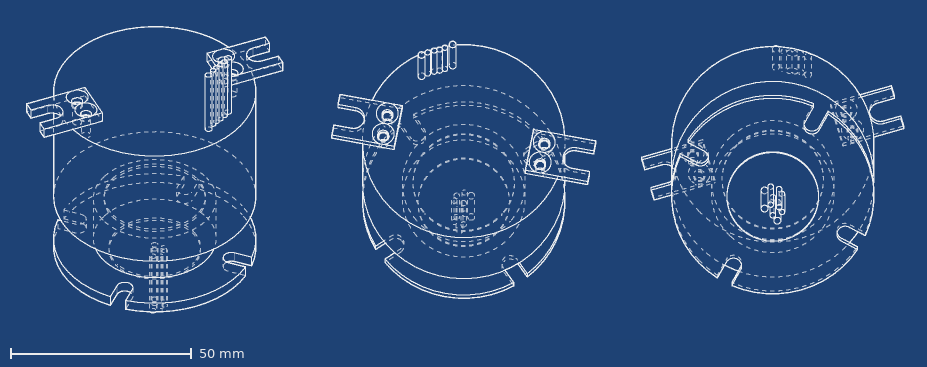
import cadquery as cq
import math

overall_height = 96.0
body_diameter = 56.0
body_height = 37.8
neck_diameter = 28.0
neck_height = 0.9
hub_diameter = 34.0
hub_height = 14.2
flange_thickness = 3.2
pilot_diameter = 25.3
pilot_height = 0.9
lower_wire_length = 19.6

pilot_bottom = lower_wire_length
flange_bottom = pilot_bottom + pilot_height
hub_bottom = flange_bottom + flange_thickness
neck_bottom = hub_bottom + hub_height
body_bottom = neck_bottom + neck_height
body_top = body_bottom + body_height
upper_wire_length = overall_height - body_top

flange_slot_width = 4.5
flange_slot_center_radius = 22.8
flange_slot_angles = (45, 135, 225, 315)

bracket_tip_reach = 36.0
bracket_length = 17.6
bracket_width = 12.0
bracket_thickness = 3.0
fork_width = 6.0
fork_arc_center = 31.0
screw_spacing = 6.0
screw_reach = 22.1
screw_hole_diameter = 3.1
countersink_diameter = 6.0
countersink_angle = 90
tapped_hole_diameter = 2.5
tapped_hole_depth = 6.0
drill_tip_angle = 118

thick_wire_diameter = 1.9
thin_wire_diameter = 1.5
upper_thick_wires = [(16.3, 15.0), (20.9, 7.1)]
upper_thin_wires = [(17.4, 13.4), (18.2, 11.8), (18.8, 10.4), (19.6, 9.0)]
lower_thick_wires = [(-1.9, 0.8), (2.4, -1.6)]
lower_thin_wires = [(-0.1, 0.0), (3.0, 0.3), (0.1, 2.7), (1.6, 2.3)]


def disc(diameter, bottom, height):
    return cq.Workplane("XY").workplane(offset=bottom).circle(diameter / 2).extrude(height)


def make_housing():
    return (
        disc(pilot_diameter, pilot_bottom, pilot_height)
        .union(disc(body_diameter, flange_bottom, flange_thickness).cut(make_flange_slots()))
        .union(disc(hub_diameter, hub_bottom, hub_height))
        .union(disc(neck_diameter, neck_bottom, neck_height))
        .union(disc(body_diameter, body_bottom, body_height))
    )


def open_slot(width, center, end, bottom, height):
    """Slot along +X with a round inner end, running out to x = end."""
    half = width / 2
    return (
        cq.Workplane("XY")
        .workplane(offset=bottom)
        .moveTo(end, -half)
        .lineTo(center, -half)
        .threePointArc((center - half, 0), (center, half))
        .lineTo(end, half)
        .close()
        .extrude(height)
    )


def make_flange_slots():
    slot = open_slot(
        flange_slot_width, flange_slot_center_radius, body_diameter, flange_bottom, flange_thickness
    )
    slots = cq.Workplane("XY")
    for angle in flange_slot_angles:
        slots = slots.add(slot.rotate((0, 0, 0), (0, 0, 1), angle))
    return slots.combine()


def make_bracket():
    """Fork bracket pointing along +X."""
    plate = (
        cq.Workplane("XY")
        .workplane(offset=body_top)
        .center(bracket_tip_reach - bracket_length / 2, 0)
        .rect(bracket_length, bracket_width)
        .extrude(bracket_thickness)
    )
    return plate.cut(
        open_slot(fork_width, fork_arc_center, bracket_tip_reach, body_top, bracket_thickness)
    )


def make_screw_hole():
    """Revolved cutter: countersink, clearance hole, then a tapped hole with a drill tip."""
    clearance_radius = screw_hole_diameter / 2
    sink_radius = countersink_diameter / 2
    tapped_radius = tapped_hole_diameter / 2
    bracket_top = body_top + bracket_thickness
    sink_depth = (sink_radius - clearance_radius) / math.tan(math.radians(countersink_angle / 2))
    tip_depth = tapped_radius / math.tan(math.radians(drill_tip_angle / 2))
    tapped_bottom = body_top - tapped_hole_depth
    profile = [
        (0, bracket_top),
        (sink_radius, bracket_top),
        (clearance_radius, bracket_top - sink_depth),
        (clearance_radius, body_top),
        (tapped_radius, body_top),
        (tapped_radius, tapped_bottom),
        (0, tapped_bottom - tip_depth),
    ]
    return cq.Workplane("XZ").polyline(profile).close().revolve(360, (0, 0, 0), (0, 1, 0))


def make_wires(positions, diameter, bottom, length):
    return (
        cq.Workplane("XY")
        .workplane(offset=bottom)
        .pushPoints(positions)
        .circle(diameter / 2)
        .extrude(length)
    )


result = make_housing()

for angle in (90, 270):
    result = result.union(make_bracket().rotate((0, 0, 0), (0, 0, 1), angle))

for side in (-1, 1):
    for end in (-1, 1):
        hole = make_screw_hole().translate((side * screw_spacing / 2, end * screw_reach, 0))
        result = result.cut(hole)

for positions, diameter in (
    (upper_thick_wires, thick_wire_diameter),
    (upper_thin_wires, thin_wire_diameter),
):
    result = result.union(make_wires(positions, diameter, body_top, upper_wire_length))

for positions, diameter in (
    (lower_thick_wires, thick_wire_diameter),
    (lower_thin_wires, thin_wire_diameter),
):
    result = result.union(make_wires(positions, diameter, 0, lower_wire_length))